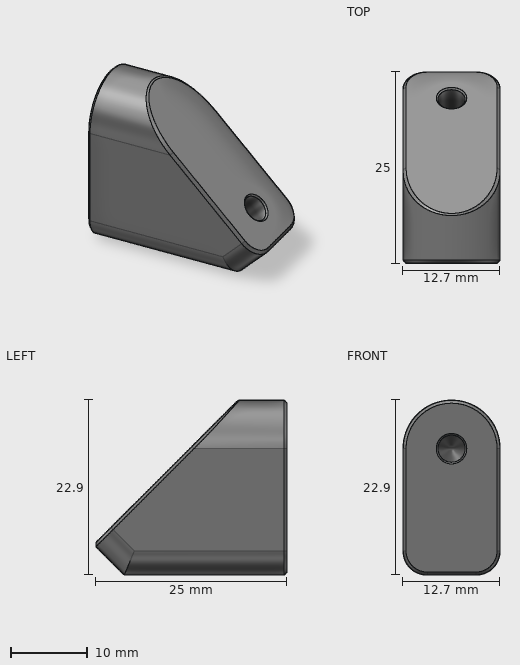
import cadquery as cq
import math

width = 12.7
length = 25.0
height = 22.87

arch_radius = width / 2
corner_radius = 3.17
edge_chamfer = 0.4

slope_top_y = 6.4
tip_y = length + edge_chamfer / math.sqrt(2)
tip_z = height - (tip_y - slope_top_y)
heel_y = tip_y - tip_z

hole_diameter = 3.55
hole_rim_diameter = 3.97
hole_depth = 6.25
drill_point_angle = 118.0
front_hole_z = height - arch_radius
slope_hole_y = 21.57
slope_hole_z = height - (slope_hole_y - slope_top_y)

slope_normal = (0, 1, 1)


def side_body():
    """Wedge with a sloped back and an end face square to the slope."""
    outline = [(0, 0), (heel_y, 0), (tip_y, tip_z), (slope_top_y, height), (0, height)]
    return cq.Workplane("YZ").polyline(outline).close().extrude(width / 2, both=True)


def arched_column():
    """Front outline, rounded at the top and at the lower corners, run along Y."""
    block = (
        cq.Workplane("XY")
        .box(width, 2 * tip_y, front_hole_z, centered=(True, True, False))
        .edges("|Y and <Z")
        .fillet(corner_radius)
    )
    arch = (
        cq.Workplane("XZ", origin=(0, 0, front_hole_z))
        .circle(arch_radius)
        .extrude(tip_y, both=True)
    )
    return block.union(arch)


def slope_plane(depth):
    """Plane parallel to the slope, this far beneath it; local Y climbs the slope from the tip edge."""
    tip_plane = cq.Plane(origin=(0, tip_y, tip_z), xDir=(-1, 0, 0), normal=slope_normal)
    return cq.Plane(origin=tip_plane.toWorldCoords((0, 0, -depth)), xDir=(-1, 0, 0), normal=slope_normal)


def rim_outline(workplane, inset, arch_rise):
    """Arched outline parallel to the slope: half ellipse, straight sides and rounded tip corners."""
    half_width = width / 2 - inset
    corner = corner_radius - inset
    corner_x = half_width - corner
    corner_y = inset + corner
    diagonal = corner * math.sqrt(0.5)
    arch_y = (front_hole_z - tip_z) * math.sqrt(2) + edge_chamfer
    return (
        workplane.moveTo(-corner_x, inset)
        .lineTo(corner_x, inset)
        .threePointArc((corner_x + diagonal, corner_y - diagonal), (half_width, corner_y))
        .lineTo(half_width, arch_y)
        .ellipseArc(half_width, arch_rise, 0, 180)
        .lineTo(-half_width, corner_y)
        .threePointArc((-corner_x - diagonal, corner_y - diagonal), (-corner_x, inset))
        .close()
    )


def slope_column():
    """Bar square to the slope, with rounded tip corners and a chamfered rim.

    The rim chamfer leans 45 degrees along the sides and tip. Over the arch it flattens
    until, at the crown, it halves the angle between the slope and the top.
    """
    reach = 2 * length
    bar = (
        cq.Workplane(slope_plane(edge_chamfer))
        .center(0, reach / 2)
        .rect(width, reach)
        .extrude(-reach)
        .edges(cq.selectors.ParallelDirSelector(cq.Vector(*slope_normal)))
        .edges("<Z")
        .fillet(corner_radius)
    )
    base_rise = math.sqrt(2) * arch_radius + edge_chamfer
    top_rise = math.sqrt(2) * (arch_radius - edge_chamfer)
    rim = rim_outline(cq.Workplane(slope_plane(edge_chamfer)), 0, base_rise)
    rim = rim_outline(rim.workplane(offset=edge_chamfer), edge_chamfer, top_rise)
    return bar.union(rim.loft(ruled=True))


def drilled_hole(center, outward):
    """Blind hole with a drill point and a 45 degree rim chamfer, as a cutting solid."""
    radius = hole_diameter / 2
    rim_radius = hole_rim_diameter / 2
    point_depth = radius / math.tan(math.radians(drill_point_angle / 2))
    plane = cq.Plane(origin=center, xDir=(1, 0, 0), normal=outward)
    half_section = [
        (0, 0),
        (rim_radius, 0),
        (radius, radius - rim_radius),
        (radius, -hole_depth),
        (0, -hole_depth - point_depth),
    ]
    half_plane = cq.Plane(origin=center, xDir=(1, 0, 0), normal=plane.xDir.cross(plane.zDir))
    return cq.Workplane(half_plane).polyline(half_section).close().revolve(360, (0, 0), (0, 1))


body = side_body().intersect(arched_column()).faces("<Y").chamfer(edge_chamfer)
body = body.intersect(slope_column())
result = body.cut(drilled_hole((0, 0, front_hole_z), (0, -1, 0)))
result = result.cut(drilled_hole((0, slope_hole_y, slope_hole_z), slope_normal))